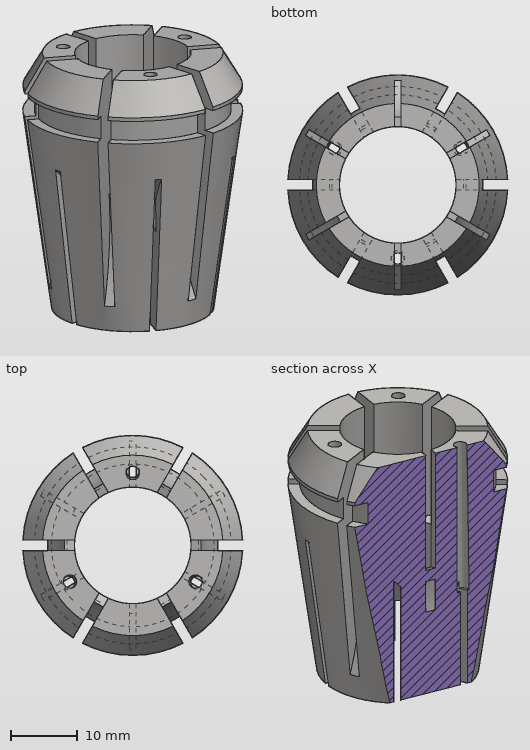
import cadquery as cq
import math

length = 40.0
taper_top = 31.0
groove_top = 34.5
nose_base = 35.1

small_end_radius = 12.2
collar_diameter = 33.0
collar_radius = collar_diameter / 2
groove_radius = 14.75
rim_radius = 16.45
nose_radius = 13.5
bore_radius = 8.7

slots_per_end = 6
slot_pitch = 360 / slots_per_end
slot_step_radius = 10.2
slot_reach = collar_radius + 4

nose_slot_width = 1.6
nose_slot_outer_end = 4.0
nose_slot_inner_end = 20.85
nose_cutter_radius = 26.8
nose_floor_drop = 0.5

tail_slot_width = 1.0
tail_slot_outer_end = 24.95
tail_slot_inner_end = 16.2
tail_cutter_radius = 16.8
tail_floor_drop = 0.0

hole_count = 3
hole_pitch = 360 / hole_count
first_hole_angle = 90.0
hole_diameter = 2.0
hole_circle_radius = 10.85
hole_depth = 24.4
hole_lean = 0.9
hole_clearance = 0.4


def taper_radius(z):
    """Outer radius of the long taper at height z."""
    return small_end_radius + (collar_radius - small_end_radius) * z / taper_top


def make_body():
    """Turned blank: long taper, groove and nose cone around a plain bore."""
    return (
        cq.Workplane("XZ")
        .moveTo(bore_radius, 0)
        .lineTo(small_end_radius, 0)
        .lineTo(collar_radius, taper_top)
        .lineTo(groove_radius, taper_top)
        .lineTo(groove_radius, groove_top)
        .lineTo(rim_radius, groove_top)
        .lineTo(rim_radius, nose_base)
        .lineTo(nose_radius, length)
        .lineTo(bore_radius, length)
        .close()
        .revolve(360, (0, 0), (0, 1))
    )


def arc_middle(start, end, radius):
    """Midpoint of the arc from start out to end, bulging towards the axis."""
    across = end[0] - start[0]
    rise = end[1] - start[1]
    chord = math.hypot(across, rise)
    bulge = radius - math.sqrt(radius**2 - (chord / 2) ** 2)
    direction = math.copysign(bulge / chord, rise)
    return (
        (start[0] + end[0]) / 2 - direction * rise,
        (start[1] + end[1]) / 2 + direction * across,
    )


def make_slot(width, open_level, inner_end, outer_end, cutter_radius, floor_drop):
    """Slot along +X, open at open_level; its end runs from the axis, over the step, to the taper."""
    step = (slot_step_radius, inner_end)
    rim = (taper_radius(outer_end), outer_end)
    floor_slope = floor_drop / (slot_step_radius - bore_radius)
    axis_end = inner_end - floor_slope * slot_step_radius
    return (
        cq.Workplane("XZ")
        .moveTo(0, open_level)
        .lineTo(0, axis_end)
        .lineTo(*step)
        .threePointArc(arc_middle(step, rim, cutter_radius), rim)
        .lineTo(slot_reach, outer_end)
        .lineTo(slot_reach, open_level)
        .close()
        .extrude(width / 2, both=True)
    )


def make_hole():
    """Leaning coolant hole over +X; its axis crosses the nose face on the hole circle."""
    return (
        cq.Workplane("XY", origin=(0, 0, hole_clearance))
        .circle(hole_diameter / 2)
        .extrude(-hole_clearance - hole_depth)
        .rotate((0, 0, 0), (0, 1, 0), -hole_lean)
        .translate((hole_circle_radius, 0, length))
    )


def around_axis(shape, angle):
    """Copy of shape turned about the Z axis."""
    return shape.rotate((0, 0, 0), (0, 0, 1), angle)


nose_slot = make_slot(
    nose_slot_width,
    length,
    nose_slot_inner_end,
    nose_slot_outer_end,
    nose_cutter_radius,
    nose_floor_drop,
)
tail_slot = make_slot(
    tail_slot_width,
    0,
    tail_slot_inner_end,
    tail_slot_outer_end,
    tail_cutter_radius,
    tail_floor_drop,
)
hole = make_hole()

result = make_body()

for index in range(slots_per_end):
    nose_angle = index * slot_pitch
    result = result.cut(around_axis(nose_slot, nose_angle))
    result = result.cut(around_axis(tail_slot, nose_angle + slot_pitch / 2))

for index in range(hole_count):
    result = result.cut(around_axis(hole, first_hole_angle + index * hole_pitch))